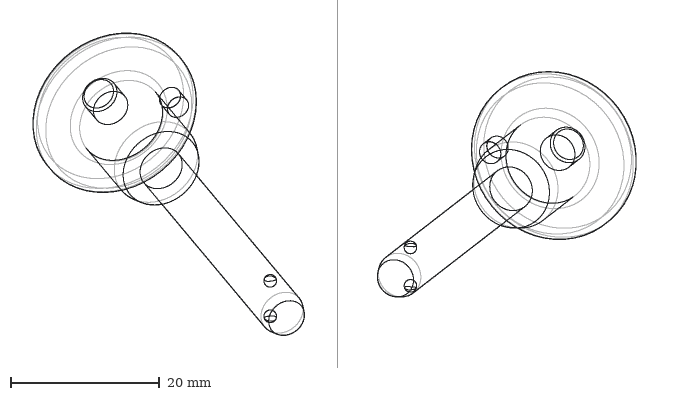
import cadquery as cq
import math

total_length = 70.5
button_length = 4.45
flange_thickness = 3.0
collar_end = 23.4
collar_taper_length = 2.0
tip_taper_length = 1.7

button_radius = 2.5
flange_radius = 11.5
collar_radius = 6.0
shank_radius = 3.0

button_chamfer = 0.35
edge_radius = 1.0
taper_angle = math.radians(15)

lanyard_hole_diameter = 3.0
lanyard_hole_offset = 8.5

ball_radius = 0.85
ball_protrusion = 0.5
ball_x = 64.4
ball_center_height = shank_radius + ball_protrusion - ball_radius

flange_end = button_length + flange_thickness


def make_ball(side):
    """Locking ball on the +Z (side = 1) or -Z (side = -1) side of the shank."""
    return cq.Workplane("XY").sphere(ball_radius).translate((ball_x, 0, side * ball_center_height))


def make_pin_profile():
    """Half section of button, flange, collar and shank, to be turned about X."""
    collar_end_radius = collar_radius - collar_taper_length * math.tan(taper_angle)
    tip_radius = shank_radius - tip_taper_length * math.tan(taper_angle)
    arc_middle = edge_radius * (1 - math.sqrt(0.5))
    return (
        cq.Workplane("XY")
        .lineTo(0, button_radius - button_chamfer)
        .lineTo(button_chamfer, button_radius)
        .lineTo(button_length, button_radius)
        .lineTo(button_length, flange_radius - edge_radius)
        .threePointArc(
            (button_length + arc_middle, flange_radius - arc_middle),
            (button_length + edge_radius, flange_radius),
        )
        .lineTo(flange_end - edge_radius, flange_radius)
        .threePointArc(
            (flange_end - arc_middle, flange_radius - arc_middle),
            (flange_end, flange_radius - edge_radius),
        )
        .lineTo(flange_end, collar_radius + edge_radius)
        .threePointArc(
            (flange_end + arc_middle, collar_radius + arc_middle),
            (flange_end + edge_radius, collar_radius),
        )
        .lineTo(collar_end - collar_taper_length, collar_radius)
        .lineTo(collar_end, collar_end_radius)
        .lineTo(collar_end, shank_radius)
        .lineTo(total_length - tip_taper_length, shank_radius)
        .lineTo(total_length, tip_radius)
        .lineTo(total_length, 0)
        .close()
    )


def make_lanyard_hole():
    """Cutter for the hole that runs along X through the flange."""
    return (
        cq.Workplane("YZ", origin=(button_length, lanyard_hole_offset, 0))
        .circle(lanyard_hole_diameter / 2)
        .extrude(flange_thickness)
    )


balls = [make_ball(side) for side in (1, -1)]

pin = make_pin_profile().revolve(360, (0, 0, 0), (1, 0, 0))
pin = pin.cut(make_lanyard_hole())
for ball in balls:
    pin = pin.cut(ball)

result = cq.Compound.makeCompound([pin.val(), *[ball.val() for ball in balls]])